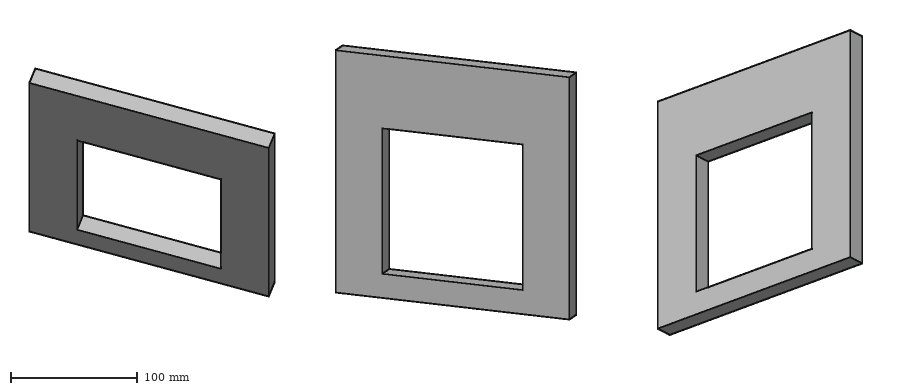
import cadquery as cq

plate_side = 200.0
plate_thickness = 15.0

window_side = 120.0
bottom_rail = 20.0
window_center_z = bottom_rail + window_side / 2 - plate_side / 2

plate = cq.Workplane("XY").box(plate_side, plate_thickness, plate_side)

window = (
    cq.Workplane("XY")
    .box(window_side, plate_thickness, window_side)
    .translate((0, 0, window_center_z))
)

result = plate.cut(window)